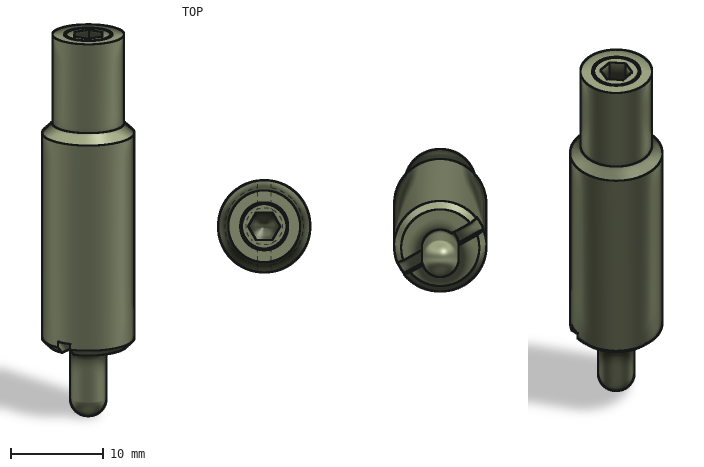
import cadquery as cq
import math

total_length = 43.0

barrel_diameter = 10.0
neck_diameter = 7.8
neck_length = 10.0
shoulder_height = 1.08
bottom_chamfer = 0.77
slot_width = 1.5
slot_depth = 1.4

pin_diameter = 4.0
pin_protrusion = 8.0
head_diameter = 4.8
head_bore_diameter = 5.2
head_length = neck_length
socket_across_flats = 3.0
socket_depth = 3.0
socket_cone_angle = 120.0

neck_base = total_length - neck_length
barrel_top = neck_base - shoulder_height
barrel_radius = barrel_diameter / 2
pin_radius = pin_diameter / 2
head_base = total_length - head_length


def cylinder(diameter, bottom, top):
    return cq.Workplane("XY").workplane(offset=bottom).circle(diameter / 2).extrude(top - bottom)


def make_housing():
    profile = (
        cq.Workplane("XZ")
        .moveTo(0, pin_protrusion)
        .lineTo(barrel_radius - bottom_chamfer, pin_protrusion)
        .lineTo(barrel_radius, pin_protrusion + bottom_chamfer)
        .lineTo(barrel_radius, barrel_top)
        .lineTo(neck_diameter / 2, neck_base)
        .lineTo(neck_diameter / 2, total_length)
        .lineTo(0, total_length)
        .close()
    )
    body = profile.revolve(360, (0, 0, 0), (0, 1, 0))

    shank_bore = cylinder(pin_diameter, pin_protrusion, total_length)
    head_bore = cylinder(head_bore_diameter, head_base, total_length)

    slot = (
        cq.Workplane("XY")
        .workplane(offset=pin_protrusion)
        .rect(slot_width, barrel_diameter)
        .extrude(slot_depth)
    )
    return body.cut(shank_bore).cut(head_bore).cut(slot)


def make_socket():
    corner_radius = socket_across_flats / math.sqrt(3)
    cone_height = corner_radius / math.tan(math.radians(socket_cone_angle / 2))
    cone_rim = total_length - socket_depth
    cone_tip = cone_rim - cone_height
    hexagon = (
        cq.Workplane("XY")
        .workplane(offset=cone_tip)
        .polygon(6, 2 * corner_radius)
        .extrude(total_length - cone_tip)
    )
    drill = (
        cq.Workplane("XZ")
        .moveTo(0, cone_tip)
        .lineTo(corner_radius, cone_rim)
        .lineTo(corner_radius, total_length)
        .lineTo(0, total_length)
        .close()
        .revolve(360, (0, 0, 0), (0, 1, 0))
    )
    return hexagon.intersect(drill)


def make_pin():
    nose_middle = pin_radius * math.sqrt(0.5)
    profile = (
        cq.Workplane("XZ")
        .moveTo(0, 0)
        .threePointArc((nose_middle, pin_radius - nose_middle), (pin_radius, pin_radius))
        .lineTo(pin_radius, head_base)
        .lineTo(head_diameter / 2, head_base)
        .lineTo(head_diameter / 2, total_length)
        .lineTo(0, total_length)
        .close()
    )
    body = profile.revolve(360, (0, 0, 0), (0, 1, 0))
    return body.cut(make_socket())


housing = make_housing()
pin = make_pin()

result = cq.Compound.makeCompound([housing.val(), pin.val()])